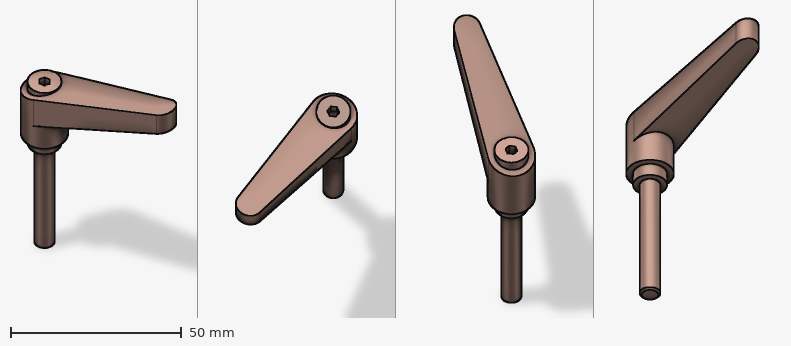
import cadquery as cq
import math

total_height = 75.7
total_length = 52.0

stud_diameter = 6.05
stud_chamfer = 0.6
collar_diameter = 10.0
collar_bottom = 40.0
head_top = 64.4

hub_diameter = 14.0
hub_bottom = 44.0
hub_rear_top = 60.55
tip_radius = 4.0
tip_thickness = 7.3
underside_angle = 20.0

socket_across_flats = 3.0
socket_depth = 4.0
socket_cone_depth = 0.9

hub_radius = hub_diameter / 2
top_slope = (total_height - hub_rear_top) / total_length
handle_end = total_length - hub_radius
tip_center = handle_end - tip_radius

taper_sin = (hub_radius - tip_radius) / tip_center
taper_cos = math.sqrt(1 - taper_sin**2)
underside_start = hub_radius * taper_sin
tip_bottom = total_height - tip_thickness
underside_rise = (handle_end - underside_start) * math.tan(math.radians(underside_angle))
underside_start_height = tip_bottom - underside_rise


def cylinder(diameter, bottom, top):
    """Solid cylinder on the stud axis between two heights."""
    return cq.Workplane("XY").workplane(offset=bottom).circle(diameter / 2).extrude(top - bottom)


def side_profile(points):
    """Slab with the given XZ outline, as wide as the hub."""
    return cq.Workplane("XZ").polyline(points).close().extrude(hub_radius, both=True)


def tangent_point(center, radius, side):
    """Point where a straight side (+1 or -1 in Y) touches an end circle."""
    return (center + radius * taper_sin, side * radius * taper_cos)


def make_hub():
    """Round hub with its top cut along the handle slope."""
    hub_front_top = hub_rear_top + top_slope * hub_diameter
    envelope = side_profile([
        (-hub_radius, hub_bottom),
        (hub_radius, hub_bottom),
        (hub_radius, hub_front_top),
        (-hub_radius, hub_rear_top),
    ])
    return cylinder(hub_diameter, hub_bottom, total_height).intersect(envelope)


def make_handle():
    """Tapered handle with a round tip, between the sloped top and underside."""
    start_top = hub_rear_top + top_slope * (underside_start + hub_radius)
    outline = (
        cq.Workplane("XY")
        .moveTo(*tangent_point(0, hub_radius, -1))
        .lineTo(*tangent_point(tip_center, tip_radius, -1))
        .threePointArc((handle_end, 0), tangent_point(tip_center, tip_radius, 1))
        .lineTo(*tangent_point(0, hub_radius, 1))
        .close()
        .extrude(total_height)
    )
    envelope = side_profile([
        (underside_start, underside_start_height),
        (handle_end, tip_bottom),
        (handle_end, total_height),
        (underside_start, start_top),
    ])
    return outline.intersect(envelope)


def make_socket():
    """Hexagonal recess with corners along X and a drill-point floor as wide as its corners."""
    across_corners = socket_across_flats / math.cos(math.pi / 6)
    cone_top = head_top - socket_depth
    cone_tip = cone_top - socket_cone_depth
    hexagon = (
        cq.Workplane("XY").workplane(offset=cone_tip)
        .polygon(6, across_corners).extrude(head_top - cone_tip)
    )
    pointed_bore = (
        cq.Workplane("XZ")
        .moveTo(0, cone_tip)
        .lineTo(across_corners / 2, cone_top)
        .lineTo(across_corners / 2, head_top)
        .lineTo(0, head_top)
        .close()
        .revolve(360, (0, 0), (0, 1))
    )
    return hexagon.intersect(pointed_bore)


stud = cylinder(stud_diameter, 0, hub_bottom).faces("<Z").chamfer(stud_chamfer)
collar_and_head = cylinder(collar_diameter, collar_bottom, head_top)

result = make_hub().union(make_handle()).union(collar_and_head).union(stud).cut(make_socket())